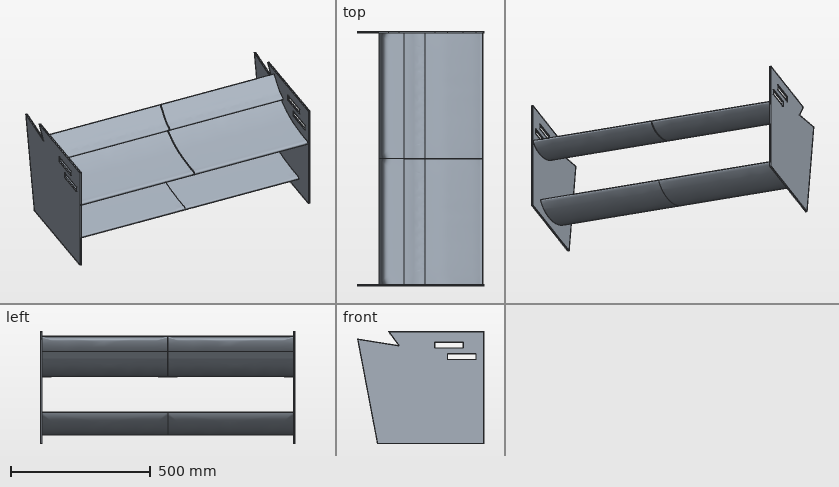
import cadquery as cq

SPAN = 910.0
PLATE_THICKNESS = 5.5
PLATE_LENGTH = 451.0
PLATE_HEIGHT = 400.0

HALF_SPAN = SPAN / 2 - PLATE_THICKNESS
RIB_THICKNESS = 3.0
RIBBED_HALF_SPAN = HALF_SPAN - RIB_THICKNESS / 2

PLATE_FOOT_X = 71.0
FRONT_TIP_Z = 374.0
NOTCH_ROOT = (148.0, 350.0)
NOTCH_TOP_X = 111.0

SLOT_LENGTH = 101.0
SLOT_HEIGHT = 20.0
SLOT_CENTERS = [(327.0, 352.0), (372.0, 311.0)]

LOWER_TRAILING_EDGE = (75.5, 113.0)
LOWER_TOP = [(158.0, 85.0), (260.0, 67.0), (328.0, 64.0), (355.0, 65.0), (367.0, 64.0)]
LOWER_NOSE = (371.0, 58.0)
LOWER_BOTTOM = [(364.0, 50.0), (337.0, 37.0), (282.0, 31.0), (200.0, 45.0), (127.0, 76.0)]

MAIN_TRAILING_EDGE = (194.0, 329.0)
MAIN_TOP = [(237.0, 303.0), (287.0, 281.0), (363.0, 267.5), (409.5, 265.0), (432.0, 265.0), (444.0, 264.0)]
MAIN_NOSE = (448.0, 258.0)
MAIN_BOTTOM = [(439.5, 250.0), (419.0, 242.0), (382.0, 239.0), (328.0, 247.0), (273.0, 266.0)]
MAIN_FLAT_START = (219.0, 304.0)

FLAP_TRAILING_EDGE = (166.0, 385.0)
FLAP_TOP = [(179.0, 369.5), (202.0, 347.0), (224.0, 332.0), (236.0, 328.0)]
FLAP_NOSE = (241.0, 321.0)
FLAP_BOTTOM = [(233.0, 316.0), (209.0, 324.0), (188.0, 344.0), (174.0, 364.0)]


def extrude_along_y(profile, start_y, length):
    """Extrude an XZ profile from start_y toward +Y."""
    return profile.extrude(-length).translate((0, start_y, 0))


def make_end_plate(start_y):
    """Flat end plate with a notched front top corner and two slots."""
    outline = (
        cq.Workplane("XZ")
        .moveTo(PLATE_FOOT_X, 0)
        .lineTo(PLATE_LENGTH, 0)
        .lineTo(PLATE_LENGTH, PLATE_HEIGHT)
        .lineTo(NOTCH_TOP_X, PLATE_HEIGHT)
        .lineTo(*NOTCH_ROOT)
        .lineTo(0, FRONT_TIP_Z)
        .close()
    )
    slots = cq.Workplane("XZ").pushPoints(SLOT_CENTERS).rect(SLOT_LENGTH, SLOT_HEIGHT)
    plate = extrude_along_y(outline, start_y, PLATE_THICKNESS)
    return plate.cut(extrude_along_y(slots, start_y, PLATE_THICKNESS))


def wing_profile(trailing_edge, top, nose, bottom, flat_start=None):
    """Closed section with a round nose and a sharp trailing edge."""
    curve = [trailing_edge, *top, nose, *bottom, flat_start or trailing_edge]
    section = cq.Workplane("XZ").spline(curve)
    return section.close() if flat_start else section.wire()


def make_lower_wing_half(start_y):
    profile = wing_profile(LOWER_TRAILING_EDGE, LOWER_TOP, LOWER_NOSE, LOWER_BOTTOM)
    return extrude_along_y(profile, start_y, HALF_SPAN)


def make_main_wing_piece(start_y, length):
    profile = wing_profile(MAIN_TRAILING_EDGE, MAIN_TOP, MAIN_NOSE, MAIN_BOTTOM, MAIN_FLAT_START)
    return extrude_along_y(profile, start_y, length)


def make_flap_piece(start_y, length):
    profile = wing_profile(FLAP_TRAILING_EDGE, FLAP_TOP, FLAP_NOSE, FLAP_BOTTOM)
    return extrude_along_y(profile, start_y, length)


end_plates = [make_end_plate(y).val() for y in (-SPAN / 2, SPAN / 2 - PLATE_THICKNESS)]

lower_wing_halves = [make_lower_wing_half(y).val() for y in (-HALF_SPAN, 0)]

ribbed_half_starts = (-HALF_SPAN, RIB_THICKNESS / 2)
main_wing_halves = [make_main_wing_piece(y, RIBBED_HALF_SPAN).val() for y in ribbed_half_starts]
flap_halves = [make_flap_piece(y, RIBBED_HALF_SPAN).val() for y in ribbed_half_starts]
main_wing_rib = make_main_wing_piece(-RIB_THICKNESS / 2, RIB_THICKNESS).val()
flap_rib = make_flap_piece(-RIB_THICKNESS / 2, RIB_THICKNESS).val()

result = cq.Compound.makeCompound(
    [
        *end_plates,
        *lower_wing_halves,
        *main_wing_halves,
        main_wing_rib,
        *flap_halves,
        flap_rib,
    ]
)